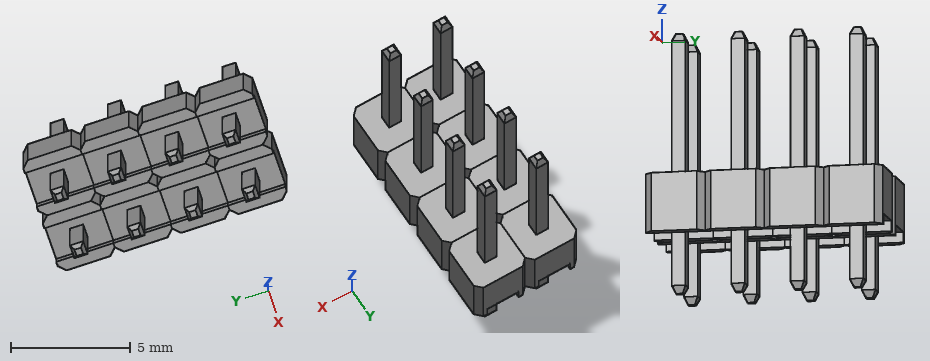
import cadquery as cq

COLUMNS = 2
ROWS = 4
HEADER_LENGTH = 10.16
PITCH = HEADER_LENGTH / ROWS

HOUSING_HEIGHT = 2.5
CORNER_CHAMFER = 0.3
CHANNEL_WIDTH = 1.54
CHANNEL_DEPTH = 0.44

PIN_LENGTH = 11.1
PIN_WIDTH = 0.59
PIN_BELOW_HOUSING = 2.5
TAPER_LENGTH = 0.32
TIP_WIDTH = 0.29


def make_housing():
    """Square block on Z = 0 with chamfered corners and a channel underneath."""
    block = (
        cq.Workplane("XY")
        .box(PITCH, PITCH, HOUSING_HEIGHT, centered=(True, True, False))
        .edges("|Z")
        .chamfer(CORNER_CHAMFER)
    )
    channel = cq.Workplane("XY").box(CHANNEL_WIDTH, PITCH, CHANNEL_DEPTH, centered=(True, True, False))
    return block.cut(channel)


def make_taper(base_z, tip_z):
    """Square frustum from the full pin section to the small end flat."""
    return (
        cq.Workplane("XY", origin=(0, 0, base_z))
        .rect(PIN_WIDTH, PIN_WIDTH)
        .workplane(offset=tip_z - base_z)
        .rect(TIP_WIDTH, TIP_WIDTH)
        .loft(ruled=True)
    )


def make_pin():
    """Vertical square pin, tapered at both ends."""
    bottom_z = -PIN_BELOW_HOUSING
    top_z = bottom_z + PIN_LENGTH
    shank_bottom_z = bottom_z + TAPER_LENGTH
    shank_top_z = top_z - TAPER_LENGTH
    shank = (
        cq.Workplane("XY", origin=(0, 0, shank_bottom_z))
        .rect(PIN_WIDTH, PIN_WIDTH)
        .extrude(shank_top_z - shank_bottom_z)
    )
    return shank.union(make_taper(shank_top_z, top_z)).union(make_taper(shank_bottom_z, bottom_z))


def make_cell():
    """One header position: housing block and pin formed as a single solid."""
    return make_housing().union(make_pin())


def centred_position(index, count):
    """Coordinate of one cell in a line of cells centred on the origin."""
    return (index - (count - 1) / 2) * PITCH


cell = make_cell()
cells = []
for column in range(COLUMNS):
    for row in range(ROWS):
        position = (centred_position(column, COLUMNS), centred_position(row, ROWS), 0)
        cells.append(cell.translate(position).val())

result = cq.Compound.makeCompound(cells)